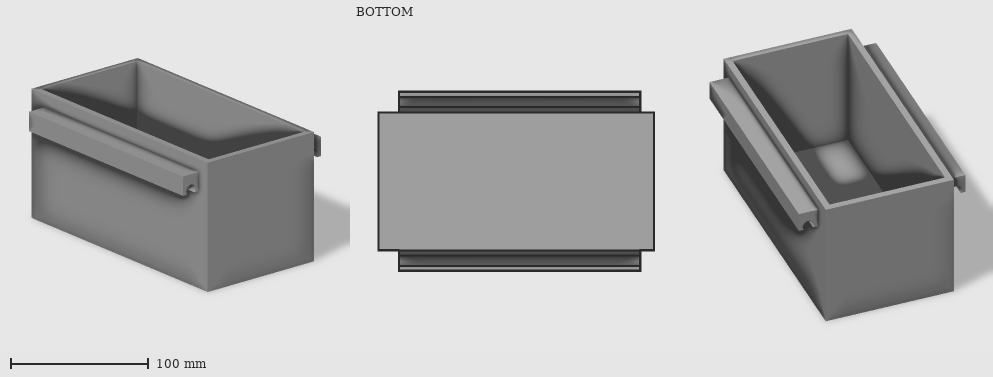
import cadquery as cq

BOX_LENGTH = 200.0
BOX_WIDTH = 100.0
BOX_HEIGHT = 100.0
WALL = 5.0
FLOOR = WALL

RAIL_LENGTH = 175.0
RAIL_START_INSET = 15.0
RAIL_SIZE = 15.0
RAIL_TOP_DROP = 10.0

GROOVE_DIAMETER = 9.0
GROOVE_AXIS_HEIGHT = 2.5

rail_start = -BOX_LENGTH / 2 + RAIL_START_INSET
rail_bottom = BOX_HEIGHT - RAIL_TOP_DROP - RAIL_SIZE
rail_offset = (BOX_WIDTH + RAIL_SIZE) / 2


def make_box():
    """Box standing on Z = 0, hollowed from above."""
    outer = cq.Workplane("XY").rect(BOX_LENGTH, BOX_WIDTH).extrude(BOX_HEIGHT)
    cavity = (
        cq.Workplane("XY")
        .workplane(offset=FLOOR)
        .rect(BOX_LENGTH - 2 * WALL, BOX_WIDTH - 2 * WALL)
        .extrude(BOX_HEIGHT - FLOOR)
    )
    return outer.cut(cavity)


def make_rail(side):
    """Grooved rail on the +Y (side = 1) or -Y (side = -1) wall."""
    y_center = side * rail_offset
    bar = (
        cq.Workplane("YZ")
        .workplane(offset=rail_start)
        .center(y_center, rail_bottom + RAIL_SIZE / 2)
        .rect(RAIL_SIZE, RAIL_SIZE)
        .extrude(RAIL_LENGTH)
    )
    groove = (
        cq.Workplane("YZ")
        .workplane(offset=rail_start)
        .center(y_center, rail_bottom + GROOVE_AXIS_HEIGHT)
        .circle(GROOVE_DIAMETER / 2)
        .extrude(RAIL_LENGTH)
    )
    return bar.cut(groove)


result = make_box()
for side in (-1, 1):
    result = result.union(make_rail(side))